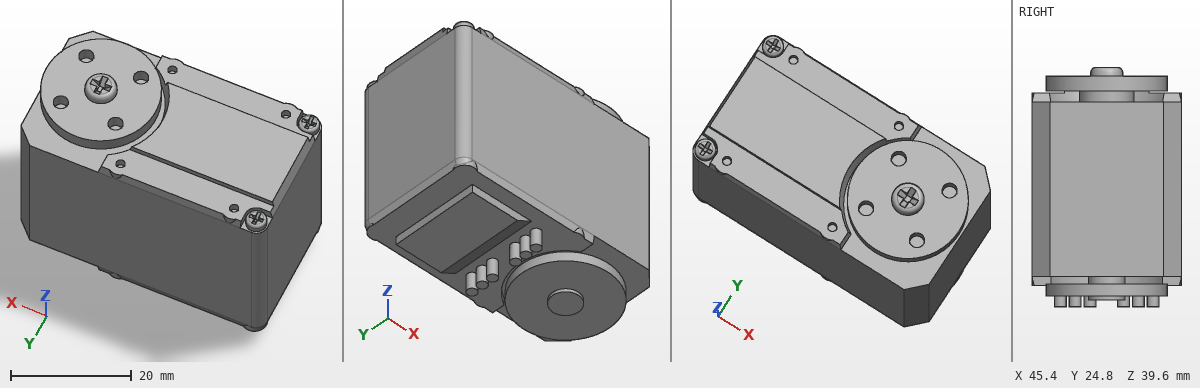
import cadquery as cq
import math


case_length = 45.4
case_width = 24.8
case_height = 28.87
rear_corner_radius = 2.0
front_corner_chamfer = 3.0

cover_length = 29.95
cover_thickness = 1.5
cover_draft = 15
ridge_width = 14.0
ridge_height = 2.55
boss_radius = 2.2
boss_inset = 2.22
top_boss_xs = (6.17, 26.88)
bottom_boss_xs = (2.45, 26.88)
top_hole_diameter = 1.5

axis_x = 35.2
horn_diameter = 20.0
horn_clearance_radius = 10.62
output_collar_diameter = 9.0
output_collar_height = 1.75
output_horn_thickness = 2.5
horn_hole_diameter = 2.5
horn_hole_offset = 5
idler_shaft_diameter = 6.0
idler_gap = 1.23
idler_horn_thickness = 2.0
idler_shaft_length = 3.9

horn_screw_diameter = 5.4
horn_screw_flat_diameter = 3.5
horn_screw_height = 1.45
horn_screw_slot_width = 1.0
horn_screw_slot_depth = 1.3
cover_screw_diameter = 3.5
cover_screw_flat_diameter = 2.45
cover_screw_height = 1.45
cover_screw_slot_width = 0.6
cover_screw_slot_depth = 0.9
cover_screw_inset = 2.05
screw_notch_radius = 2.0

connector_rear_x = 5.18
connector_flat_end_x = 15.5
connector_front_x = 18.65
connector_width = 18.25
connector_bottom = 3.22
pin_x = 21.1
pin_diameter = 2.0
pin_length = 5
pins_per_side = 3
pin_pitch = 2.45
inner_pin_y = 2.75

half_width = case_width / 2
draft_slope = math.tan(math.radians(cover_draft))
sides = (-1, 1)


def cylinder(x, y, z, diameter, height):
    """Upright cylinder starting at (x, y, z); a negative height runs downward."""
    return cq.Workplane("XY", origin=(x, y, z)).circle(diameter / 2).extrude(height)


def box(x_start, x_end, width, z_start, height):
    """Block symmetric about the middle plane."""
    length = x_end - x_start
    plane = cq.Workplane("XY", origin=(x_start + length / 2, 0, z_start))
    return plane.rect(length, width).extrude(height)


def make_case():
    case = box(0, case_length, case_width, 0, case_height)
    case = case.edges("|Z and <X").fillet(rear_corner_radius)
    return case.edges("|Z and >X").chamfer(front_corner_chamfer)


def horn_clearance(height):
    """Flared cutter around the horn axis, narrowest at the case."""
    top_radius = horn_clearance_radius + height * draft_slope
    profile = cq.Workplane("XZ").polyline(
        [(0, 0), (horn_clearance_radius, 0), (top_radius, height), (0, height)]
    )
    cutter = profile.close().revolve(360, (0, 0), (0, 1))
    return cutter.translate((axis_x, 0, case_height))


def screw_notch(side):
    """Cutter that frees a cover screw at a rear corner."""
    size = cover_screw_inset + screw_notch_radius
    notch = cq.Workplane("XY", origin=(0, side * half_width, case_height))
    notch = notch.rect(2 * size, 2 * size).extrude(ridge_height)
    return notch.edges("|Z").fillet(screw_notch_radius)


def make_top_cover():
    cover = cq.Workplane("XY", origin=(cover_length / 2, 0, case_height))
    cover = cover.rect(cover_length, case_width).extrude(cover_thickness, taper=cover_draft)
    boss_points = [(x, side * (half_width - boss_inset)) for x in top_boss_xs for side in sides]
    for x, y in boss_points:
        cover = cover.union(cylinder(x, y, case_height, 2 * boss_radius, cover_thickness))

    ridge = cq.Workplane("XZ", origin=(0, 0, case_height)).polyline(
        [
            (0, 0),
            (cover_length, 0),
            (cover_length, ridge_height),
            (ridge_height * draft_slope, ridge_height),
        ]
    )
    ridge = ridge.close().extrude(ridge_width / 2, both=True)

    cover = cover.union(ridge).cut(horn_clearance(ridge_height))
    for side in sides:
        cover = cover.cut(screw_notch(side))
    for x, y in boss_points:
        cover = cover.cut(cylinder(x, y, case_height, top_hole_diameter, cover_thickness))
    return cover


def make_bottom_cover():
    cover = cq.Workplane("XY", origin=(case_length / 2, 0, 0))
    cover = cover.sketch().rect(case_length, case_width).vertices("<X").fillet(rear_corner_radius)
    cover = cover.finalize().extrude(-cover_thickness, taper=cover_draft)
    cover = cover.cut(box(cover_length, case_length, case_width, -cover_thickness, cover_thickness))
    for x in bottom_boss_xs:
        for side in sides:
            y = side * (half_width - boss_inset)
            cover = cover.union(cylinder(x, y, 0, 2 * boss_radius, -cover_thickness))
    return cover.cut(cylinder(axis_x, 0, 0, 2 * horn_clearance_radius, -cover_thickness))


def cut_cross_recess(head, length, height, width, depth):
    """Cut a tapering cross recess into the top of a screw head that stands on Z = 0."""
    floor = height - depth
    slot = cq.Workplane("XZ").polyline(
        [
            (-width / 2, floor),
            (width / 2, floor),
            (length / 2, height),
            (-length / 2, height),
        ]
    )
    slot = slot.close().extrude(width / 2, both=True)
    return head.cut(slot).cut(slot.rotate((0, 0, 0), (0, 0, 1), 90))


def make_cover_screws():
    edge_round = (cover_screw_diameter - cover_screw_flat_diameter) / 2
    head = cylinder(0, 0, 0, cover_screw_diameter, cover_screw_height)
    head = head.faces(">Z").edges().fillet(edge_round)
    head = cut_cross_recess(
        head,
        cover_screw_flat_diameter,
        cover_screw_height,
        cover_screw_slot_width,
        cover_screw_slot_depth,
    )
    y = half_width - cover_screw_inset
    screws = head.translate((cover_screw_inset, -y, case_height))
    return screws.union(head.translate((cover_screw_inset, y, case_height)))


def make_horn_screw():
    """Domed head whose side curves from upright at the horn to level at the flat top."""
    profile = cq.Workplane("XZ").lineTo(horn_screw_diameter / 2, 0)
    profile = profile.spline(
        [(horn_screw_flat_diameter / 2, horn_screw_height)],
        tangents=[(0, 1), (-1, 0)],
        includeCurrent=True,
    )
    profile = profile.lineTo(0, horn_screw_height).close()
    head = profile.revolve(360, (0, 0), (0, 1))
    return cut_cross_recess(
        head,
        horn_screw_flat_diameter,
        horn_screw_height,
        horn_screw_slot_width,
        horn_screw_slot_depth,
    )


def make_output_horn():
    horn_bottom = case_height + output_collar_height
    horn = cylinder(axis_x, 0, horn_bottom, horn_diameter, output_horn_thickness)
    for x_side in sides:
        for y_side in sides:
            x = axis_x + x_side * horn_hole_offset
            y = y_side * horn_hole_offset
            horn = horn.cut(cylinder(x, y, horn_bottom, horn_hole_diameter, output_horn_thickness))
    collar = cylinder(axis_x, 0, case_height, output_collar_diameter, output_collar_height)
    screw = make_horn_screw().translate((axis_x, 0, horn_bottom + output_horn_thickness))
    return horn.union(collar).union(screw)


def make_idler_horn():
    shaft = cylinder(axis_x, 0, 0, idler_shaft_diameter, -idler_shaft_length)
    return shaft.union(cylinder(axis_x, 0, -idler_gap, horn_diameter, -idler_horn_thickness))


def make_connector():
    block = cq.Workplane("XZ").polyline(
        [
            (connector_rear_x, -cover_thickness),
            (connector_front_x, -cover_thickness),
            (connector_flat_end_x, -connector_bottom),
            (connector_rear_x, -connector_bottom),
        ]
    )
    connector = block.close().extrude(connector_width / 2, both=True)
    for side in sides:
        for index in range(pins_per_side):
            y = side * (inner_pin_y + index * pin_pitch)
            connector = connector.union(cylinder(pin_x, y, 0, pin_diameter, -pin_length))
    return connector


result = make_case()
result = result.union(make_top_cover()).union(make_bottom_cover())
result = result.union(make_cover_screws())
result = result.union(make_output_horn()).union(make_idler_horn())
result = result.union(make_connector())